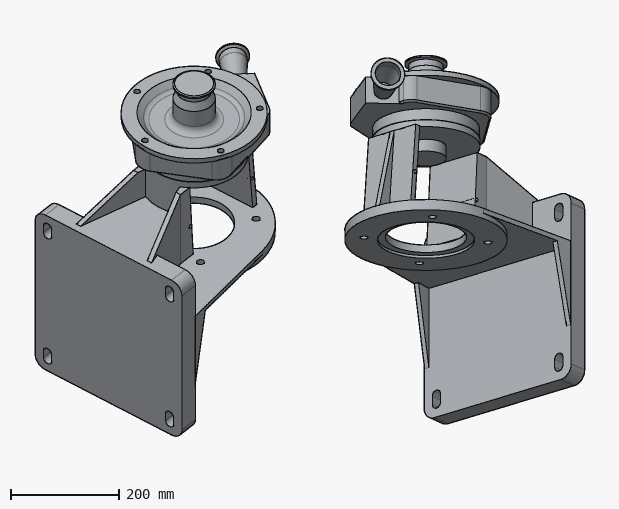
import cadquery as cq
import math


plate_width = 350.0
plate_height = 369.5
plate_thickness = 40.0
plate_corner_radius = 25.0
plate_front_y = -250.0
plate_back_y = plate_front_y + plate_thickness
slot_spacing_x = 290.5
slot_edge_distance_z = 35.5
slot_width = 19.0
slot_length = 35.5

shelf_top_z = 270.0
shelf_thickness = 9.5
shelf_bottom_z = shelf_top_z - shelf_thickness
ring_radius = 150.0
ring_thickness = 20.5
ring_bore_radius = 75.0
ring_recess_radius = 90.0
ring_recess_depth = 5.5
shelf_root_half_width = 173.5
shelf_bolt_circle_radius = 115.0
shelf_bolt_radius = 7.0

rib_thickness = 10.0
gusset_front_y = -175.5
gusset_bottom_z = 103.0

seat_radius = 100.0
seat_bottom_z = 435.5
seat_top_z = 449.0
pump_foot_radius = 99.0
post_half_width = 56.0
front_post_corner_y = -108.5
front_post_inner_top_y = -81.5
front_post_inner_bottom_y = -71.0
rear_post_outer_top_y = 99.5
rear_post_outer_bottom_y = 114.5
rear_post_thickness = 12.0
rear_rib_foot_y = 143.0
front_rib_foot_y = -234.5
front_rib_angle = 15.0
post_pin_radius = 3.5
post_pin_z = 340.5
front_pin_y = -79.5
rear_pin_y = 101.5
shaft_housing_radius = 37.5
shaft_housing_bottom_z = 412.0

casing_bottom_z = 471.5
casing_top_z = 523.5
casing_sides = 5
casing_apothem = 114.5
casing_corner_radius = 34.0
casing_corner_angle = 45.0
casing_bottom_chamfer = 3.5
outlet_shoulder_y = 127.0
outlet_face_foot_x = -38.5
outlet_tip = (6.5, 169.0)
outlet_side_slope = -0.72
outlet_corner_radius = 24.0
flange_radius = 135.0
flange_top_z = 533.5
flange_bolt_circle_radius = 122.0
flange_bolt_radius = 6.0
recess_top_radius = 105.5
recess_cone_depth = 12.0
recess_floor_radius = 84.0
recess_depth = 16.0

inlet_top_z = 603.0
inlet_radius = 39.0
inlet_neck_radius = 32.0
inlet_flare = 15.0
inlet_cone_bottom_z = 568.0
inlet_cone_top_z = 585.0
inlet_neck_top_z = 597.0
inlet_lip_thickness = 4.0
inlet_rim_bevel_height = 1.0
inlet_rim_bevel_width = 3.0

nozzle_base = (-18.0, 148.0)
nozzle_turn = 45.0
nozzle_length = 82.0
nozzle_base_radius = 17.5
nozzle_pipe_radius = 26.0
nozzle_wall = 2.5
nozzle_ferrule_radius = 31.5
nozzle_ferrule_lip = 3.0
nozzle_ferrule_length = 6.0
nozzle_straight_length = 20.0
nozzle_overlap = 6.0


def cylinder(radius, bottom_z, top_z):
    return cq.Workplane("XY").workplane(offset=bottom_z).circle(radius).extrude(top_z - bottom_z)


def prism_z(points, bottom_z, top_z):
    return cq.Workplane("XY").workplane(offset=bottom_z).polyline(points).close().extrude(top_z - bottom_z)


def prism_x(yz_points, center_x, width):
    """Extrude a Y-Z outline along X, centred on center_x."""
    outline = cq.Workplane("YZ", origin=(center_x, 0, 0)).polyline(yz_points).close()
    return outline.extrude(width / 2, both=True)


def make_plate():
    center_z = plate_height / 2
    plate = (
        cq.Workplane("XY")
        .box(plate_width, plate_thickness, plate_height)
        .edges("|Y").fillet(plate_corner_radius)
        .translate((0, plate_front_y + plate_thickness / 2, center_z))
    )
    slots = (
        cq.Workplane("XZ", origin=(0, plate_back_y, center_z))
        .rarray(slot_spacing_x, plate_height - 2 * slot_edge_distance_z, 2, 2)
        .slot2D(slot_length, slot_width, 90)
        .extrude(plate_thickness)
    )
    return plate.cut(slots)


def shelf_tangent_point():
    """Point on the right where the straight side of the shelf touches the ring."""
    root_distance = math.hypot(shelf_root_half_width, plate_back_y)
    root_angle = math.atan2(plate_back_y, shelf_root_half_width)
    tangent_angle = root_angle + math.acos(ring_radius / root_distance)
    return ring_radius * math.cos(tangent_angle), ring_radius * math.sin(tangent_angle)


def make_shelf():
    tangent_x, tangent_y = shelf_tangent_point()
    shelf = (
        cq.Workplane("XY").workplane(offset=shelf_bottom_z)
        .moveTo(-shelf_root_half_width, plate_back_y)
        .lineTo(shelf_root_half_width, plate_back_y)
        .lineTo(tangent_x, tangent_y)
        .threePointArc((0, ring_radius), (-tangent_x, tangent_y))
        .close()
        .extrude(shelf_thickness)
    )
    ring_bottom_z = shelf_top_z - ring_thickness
    shelf = shelf.union(cylinder(ring_radius, ring_bottom_z, shelf_top_z))
    shelf = shelf.cut(cylinder(ring_bore_radius, ring_bottom_z, shelf_top_z))
    shelf = shelf.cut(cylinder(ring_recess_radius, ring_bottom_z, ring_bottom_z + ring_recess_depth))
    bolts = (
        cq.Workplane("XY").workplane(offset=ring_bottom_z)
        .polarArray(shelf_bolt_circle_radius, 45, 360, 4)
        .circle(shelf_bolt_radius)
        .extrude(ring_thickness)
    )
    return shelf.cut(bolts)


def make_gusset(side):
    """Triangular gusset whose outer face is flush with the side of the shelf."""
    tangent_x, tangent_y = shelf_tangent_point()
    plan = [
        (side * shelf_root_half_width, plate_back_y),
        (side * tangent_x, tangent_y),
        (side * (tangent_x - rib_thickness), tangent_y),
        (side * (shelf_root_half_width - rib_thickness), plate_back_y),
    ]
    profile = [
        (plate_back_y, shelf_bottom_z),
        (gusset_front_y, shelf_bottom_z),
        (plate_back_y, gusset_bottom_z),
    ]
    gusset = prism_z(plan, gusset_bottom_z, shelf_bottom_z)
    return gusset.intersect(prism_x(profile, 0, plate_width))


def make_front_rib(side):
    """Plan shape of the splayed rib, trimmed to its sloping top edge."""
    slope = math.tan(math.radians(front_rib_angle))
    width_x = rib_thickness / math.cos(math.radians(front_rib_angle))
    foot_x = post_half_width + slope * (front_post_corner_y - front_rib_foot_y)
    inner_y = front_post_inner_top_y
    inner_x = post_half_width - width_x - slope * (inner_y - front_post_corner_y)
    plan = [
        (side * post_half_width, inner_y),
        (side * post_half_width, front_post_corner_y),
        (side * foot_x, front_rib_foot_y),
        (side * (foot_x - width_x), front_rib_foot_y),
        (side * inner_x, inner_y),
    ]
    profile = [
        (inner_y, shelf_top_z),
        (inner_y, seat_bottom_z),
        (front_post_corner_y, seat_bottom_z),
        (front_rib_foot_y, plate_height),
        (plate_back_y, plate_height),
        (plate_back_y, shelf_top_z),
    ]
    rib = prism_z(plan, shelf_top_z, seat_bottom_z)
    return rib.intersect(prism_x(profile, 0, plate_width))


def make_front_fill():
    """Solid between the two front ribs, level with the top of the plate."""
    slope = math.tan(math.radians(front_rib_angle))
    half_width_at_post = post_half_width - rib_thickness / 2
    half_width_at_plate = half_width_at_post + slope * (front_post_corner_y - plate_back_y)
    plan = [
        (-half_width_at_plate, plate_back_y),
        (half_width_at_plate, plate_back_y),
        (half_width_at_post, front_post_corner_y),
        (half_width_at_post, front_post_inner_top_y),
        (-half_width_at_post, front_post_inner_top_y),
        (-half_width_at_post, front_post_corner_y),
    ]
    return prism_z(plan, shelf_top_z, plate_height)


def make_posts():
    front_profile = [
        (-seat_radius, shelf_top_z),
        (front_post_inner_bottom_y, shelf_top_z),
        (front_post_inner_top_y, seat_bottom_z),
        (-seat_radius, seat_bottom_z),
    ]
    posts = cylinder(seat_radius, shelf_top_z, seat_bottom_z).intersect(
        prism_x(front_profile, 0, 2 * post_half_width)
    )
    posts = posts.union(make_front_rib(-1)).union(make_front_rib(1))
    posts = posts.union(make_front_fill())

    rear_profile = [
        (rear_post_outer_bottom_y - rear_post_thickness, shelf_top_z),
        (rear_post_outer_bottom_y, shelf_top_z),
        (rear_post_outer_top_y, seat_bottom_z),
        (rear_post_outer_top_y - rear_post_thickness, seat_bottom_z),
    ]
    rear_rib_profile = [
        (rear_post_outer_bottom_y, shelf_top_z),
        (rear_rib_foot_y, shelf_top_z),
        (rear_post_outer_top_y, seat_bottom_z),
    ]
    posts = posts.union(prism_x(rear_profile, 0, 2 * post_half_width))
    posts = posts.union(prism_x(rear_rib_profile, 0, rib_thickness))

    for pin_y in (front_pin_y, rear_pin_y):
        pin = cq.Workplane("YZ").center(pin_y, post_pin_z).circle(post_pin_radius)
        posts = posts.cut(pin.extrude(post_half_width, both=True))
    return posts


def make_outlet_block():
    """Block beside the casing that carries the nozzle; two of its walls extend casing sides."""
    left_angle = math.radians(casing_corner_angle + 1.5 * 360 / casing_sides)
    right_angle = math.radians(casing_corner_angle - 0.5 * 360 / casing_sides)
    left_nx, left_ny = math.cos(left_angle), math.sin(left_angle)
    right_nx, right_ny = math.cos(right_angle), math.sin(right_angle)

    left_corner_x = (casing_apothem - left_ny * outlet_shoulder_y) / left_nx
    tip_x, tip_y = outlet_tip
    wall_offset = tip_y - outlet_side_slope * tip_x
    right_corner_x = (casing_apothem - right_ny * wall_offset) / (right_nx + right_ny * outlet_side_slope)
    right_corner_y = wall_offset + outlet_side_slope * right_corner_x

    outline = [
        (casing_apothem * left_nx, casing_apothem * left_ny),
        (left_corner_x, outlet_shoulder_y),
        (outlet_face_foot_x, outlet_shoulder_y),
        outlet_tip,
        (right_corner_x, right_corner_y),
        (casing_apothem * right_nx, casing_apothem * right_ny),
    ]
    block = prism_z(outline, casing_bottom_z, casing_top_z)
    for corner_x, corner_y in (outline[1], outline[4]):
        corner_point = (corner_x, corner_y, casing_bottom_z)
        block = block.edges("|Z").edges(cq.NearestToPointSelector(corner_point)).fillet(outlet_corner_radius)
    left_wall_point = (
        (outline[0][0] + left_corner_x) / 2,
        (outline[0][1] + outlet_shoulder_y) / 2,
        casing_bottom_z,
    )
    left_wall_edge = block.faces("<Z").edges(cq.NearestToPointSelector(left_wall_point))
    return left_wall_edge.chamfer(casing_bottom_chamfer)


def make_casing():
    corner_distance = casing_apothem / math.cos(math.pi / casing_sides)
    casing = (
        cq.Workplane("XY")
        .polygon(casing_sides, 2 * corner_distance)
        .extrude(casing_top_z - casing_bottom_z)
        .edges("|Z").fillet(casing_corner_radius)
        .faces("<Z").edges().chamfer(casing_bottom_chamfer)
        .rotate((0, 0, 0), (0, 0, 1), casing_corner_angle)
        .translate((0, 0, casing_bottom_z))
    )
    casing = casing.union(make_outlet_block())
    casing = casing.union(cylinder(flange_radius, casing_top_z, flange_top_z))
    bolts = (
        cq.Workplane("XY").workplane(offset=casing_top_z)
        .polarArray(flange_bolt_circle_radius, casing_corner_angle, 360, casing_sides)
        .circle(flange_bolt_radius)
        .extrude(flange_top_z - casing_top_z)
    )
    return casing.cut(bolts)


def make_recess():
    """Dished recess: a 45 degree cone rounded tangentially into a flat floor."""
    floor_z = flange_top_z - recess_depth
    cone_end_radius = recess_top_radius - recess_cone_depth
    return (
        cq.Workplane("XZ")
        .moveTo(0, flange_top_z)
        .lineTo(recess_top_radius, flange_top_z)
        .lineTo(cone_end_radius, flange_top_z - recess_cone_depth)
        .tangentArcPoint((recess_floor_radius, floor_z), relative=False)
        .lineTo(0, floor_z)
        .close()
        .revolve(360, (0, 0), (0, 1))
    )


def make_inlet():
    floor_z = flange_top_z - recess_depth
    flare_mid = inlet_flare * (1 - math.sqrt(0.5))
    return (
        cq.Workplane("XZ")
        .moveTo(0, floor_z)
        .lineTo(inlet_radius + inlet_flare, floor_z)
        .threePointArc(
            (inlet_radius + flare_mid, floor_z + flare_mid),
            (inlet_radius, floor_z + inlet_flare),
        )
        .lineTo(inlet_radius, inlet_cone_bottom_z)
        .lineTo(inlet_neck_radius, inlet_cone_top_z)
        .lineTo(inlet_neck_radius, inlet_neck_top_z)
        .lineTo(inlet_radius, inlet_top_z - inlet_lip_thickness)
        .lineTo(inlet_radius, inlet_top_z - inlet_rim_bevel_height)
        .lineTo(inlet_radius - inlet_rim_bevel_width, inlet_top_z)
        .lineTo(0, inlet_top_z)
        .close()
        .revolve(360, (0, 0), (0, 1))
    )


def place_nozzle(profile):
    """Revolve a nozzle profile and lay it along the outlet direction."""
    center_z = (casing_bottom_z + casing_top_z) / 2
    return (
        cq.Workplane("XZ").polyline(profile).close()
        .revolve(360, (0, 0), (0, 1))
        .rotate((0, 0, 0), (1, 0, 0), -90)
        .rotate((0, 0, 0), (0, 0, 1), nozzle_turn)
        .translate((nozzle_base[0], nozzle_base[1], center_z))
    )


def make_nozzle():
    straight_start = nozzle_length - nozzle_straight_length
    return place_nozzle([
        (0, -nozzle_overlap),
        (nozzle_base_radius, -nozzle_overlap),
        (nozzle_base_radius, 0),
        (nozzle_pipe_radius, straight_start),
        (nozzle_pipe_radius, nozzle_length - nozzle_ferrule_length),
        (nozzle_ferrule_radius, nozzle_length - nozzle_ferrule_lip),
        (nozzle_ferrule_radius, nozzle_length),
        (0, nozzle_length),
    ])


def make_nozzle_bore():
    return place_nozzle([
        (0, 0),
        (nozzle_base_radius - nozzle_wall, 0),
        (nozzle_pipe_radius - nozzle_wall, nozzle_length - nozzle_straight_length),
        (nozzle_pipe_radius - nozzle_wall, nozzle_length),
        (0, nozzle_length),
    ])


bracket = make_plate().union(make_shelf())
bracket = bracket.union(make_gusset(-1)).union(make_gusset(1))
bracket = bracket.union(make_posts())

pump = cylinder(seat_radius, seat_bottom_z, seat_top_z)
pump = pump.union(cylinder(pump_foot_radius, seat_top_z, casing_bottom_z))
pump = pump.union(cylinder(shaft_housing_radius, shaft_housing_bottom_z, seat_bottom_z))
pump = pump.union(make_casing())
pump = pump.cut(make_recess()).union(make_inlet())
pump = pump.union(make_nozzle()).cut(make_nozzle_bore())

result = bracket.union(pump)